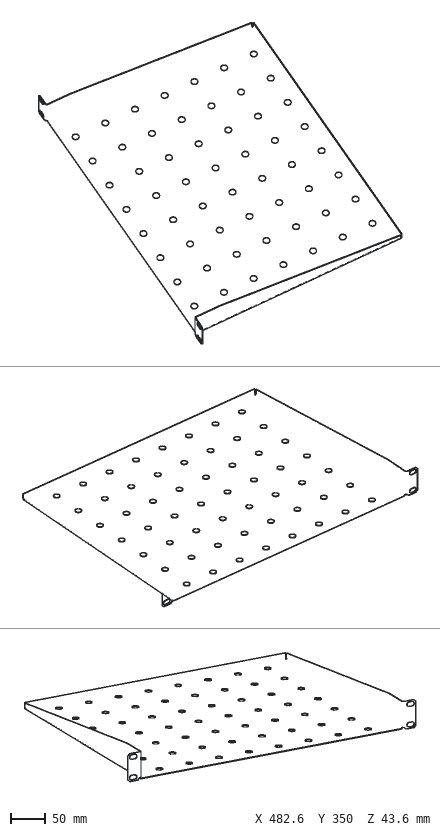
import cadquery as cq

TOTAL_WIDTH = 482.6
DEPTH = 350.0
HEIGHT = 43.6

SHEET = 1.5
BEND_INSIDE_RADIUS = 1.5
BEND_OUTSIDE_RADIUS = SHEET + BEND_INSIDE_RADIUS

TRAY_WIDTH = 440.6
REAR_LIP_HEIGHT = 10.0
WALL_FLAT_TOP_LENGTH = 42.0

EAR_CHAMFER = 3.0
SLOT_LENGTH = 12.0
SLOT_HEIGHT = 7.0
SLOT_SPACING_X = 465.1
SLOT_SPACING_Z = 31.75

HOLE_DIAMETER = 10.0
HOLE_PITCH = 50.0
HOLE_COLUMNS = 8
HOLE_ROWS = 7

FRONT_Y = -DEPTH / 2
REAR_Y = DEPTH / 2
TRAY_FRONT_Y = FRONT_Y + BEND_OUTSIDE_RADIUS
TRAY_REAR_Y = REAR_Y - BEND_OUTSIDE_RADIUS
WALL_INNER_X = TRAY_WIDTH / 2 - SHEET
EAR_BEND_X = WALL_INNER_X + BEND_OUTSIDE_RADIUS
EAR_OUTER_X = TOTAL_WIDTH / 2
EAR_WIDTH = EAR_OUTER_X - EAR_BEND_X


def bent_channel(outer_width, length):
    """Flat-bottomed channel along +Y with an upright wall bent up on each side."""

    def section(width, bottom_z, radius):
        return (
            cq.Workplane("XY")
            .box(width, length, HEIGHT - bottom_z, centered=(True, False, False))
            .translate((0, 0, bottom_z))
            .edges("<Z and |Y")
            .fillet(radius)
        )

    outside = section(outer_width, 0, BEND_OUTSIDE_RADIUS)
    inside = section(outer_width - 2 * SHEET, SHEET, BEND_INSIDE_RADIUS)
    return outside.cut(inside)


def make_side_walls():
    """Floor with both side walls, which slope from the tall front to the low rear."""
    side_outline = (
        cq.Workplane("YZ")
        .moveTo(TRAY_FRONT_Y, 0)
        .lineTo(TRAY_REAR_Y, 0)
        .lineTo(TRAY_REAR_Y, REAR_LIP_HEIGHT)
        .lineTo(FRONT_Y + WALL_FLAT_TOP_LENGTH, HEIGHT)
        .lineTo(TRAY_FRONT_Y, HEIGHT)
        .close()
        .extrude(TRAY_WIDTH / 2, both=True)
    )
    channel = bent_channel(TRAY_WIDTH, TRAY_REAR_Y - TRAY_FRONT_Y)
    return channel.translate((0, TRAY_FRONT_Y, 0)).intersect(side_outline)


def make_rear_lip():
    """Low lip bent up along the rear edge, ending short of the side wall faces."""
    return (
        cq.Workplane("YZ", origin=(-WALL_INNER_X, 0, 0))
        .moveTo(TRAY_REAR_Y, 0)
        .radiusArc((REAR_Y, BEND_OUTSIDE_RADIUS), -BEND_OUTSIDE_RADIUS)
        .lineTo(REAR_Y, REAR_LIP_HEIGHT)
        .lineTo(REAR_Y - SHEET, REAR_LIP_HEIGHT)
        .lineTo(REAR_Y - SHEET, BEND_OUTSIDE_RADIUS)
        .radiusArc((TRAY_REAR_Y, SHEET), BEND_INSIDE_RADIUS)
        .close()
        .extrude(2 * WALL_INNER_X)
    )


def floor_holes():
    """Grid of ventilation hole cutters through the floor."""
    return (
        cq.Workplane("XY")
        .rarray(HOLE_PITCH, HOLE_PITCH, HOLE_COLUMNS, HOLE_ROWS)
        .circle(HOLE_DIAMETER / 2)
        .extrude(SHEET)
    )


def make_ear_bend():
    """Quarter bend that turns the +X side wall outward into its ear."""
    return (
        cq.Workplane("XY", origin=(EAR_BEND_X, TRAY_FRONT_Y, BEND_OUTSIDE_RADIUS))
        .moveTo(-BEND_INSIDE_RADIUS, 0)
        .lineTo(-BEND_OUTSIDE_RADIUS, 0)
        .radiusArc((0, -BEND_OUTSIDE_RADIUS), -BEND_OUTSIDE_RADIUS)
        .lineTo(0, -BEND_INSIDE_RADIUS)
        .radiusArc((-BEND_INSIDE_RADIUS, 0), BEND_INSIDE_RADIUS)
        .close()
        .extrude(HEIGHT - BEND_OUTSIDE_RADIUS)
    )


def make_right_ear():
    """Mounting ear at +X with chamfered corners, two slots and its bend."""
    plate = (
        cq.Workplane("XY")
        .box(EAR_WIDTH, SHEET, HEIGHT, centered=False)
        .translate((EAR_BEND_X, FRONT_Y, 0))
        .edges("|Y")
        .edges(">X or <Z")
        .chamfer(EAR_CHAMFER)
    )
    slots = (
        cq.Workplane("XZ", origin=(SLOT_SPACING_X / 2, FRONT_Y + SHEET, HEIGHT / 2))
        .rarray(1, SLOT_SPACING_Z, 1, 2)
        .slot2D(SLOT_LENGTH, SLOT_HEIGHT)
        .extrude(SHEET)
    )
    return plate.cut(slots).union(make_ear_bend())


right_ear = make_right_ear()
left_ear = right_ear.mirror("YZ")
tray = make_side_walls().union(make_rear_lip())
result = tray.cut(floor_holes()).union(right_ear).union(left_ear)